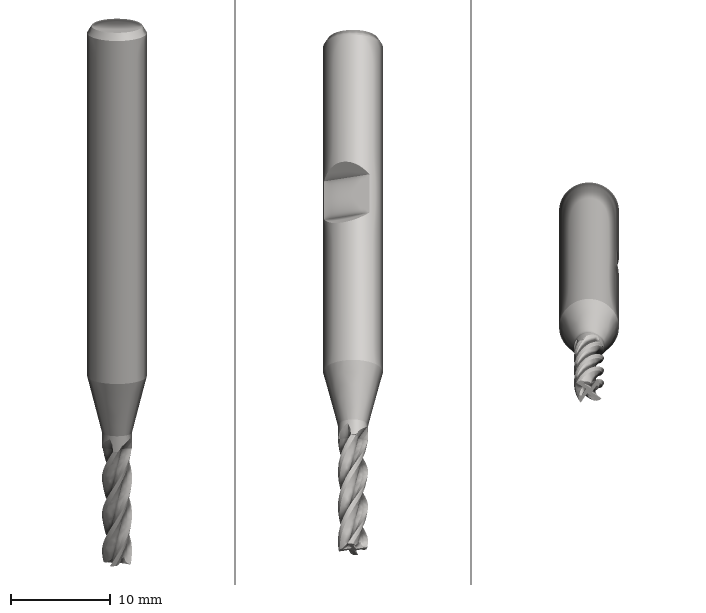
import cadquery as cq
import math

TOTAL_LENGTH = 56.0
SHANK_DIAMETER = 6.0
CUTTER_DIAMETER = 3.0

CUTTING_LENGTH = 12.0
NECK_TOP = 13.6
CONE_TOP = 19.5

CHAMFER_WIDTH = 0.45
CHAMFER_HEIGHT = 0.7

FLAT_DEPTH = 1.25
FLAT_LENGTH = 4.2
FLAT_CENTRE_TO_REAR = 18.0

TOOTH_COUNT = 4
HELIX_LEAD = 15.25
LAND_ANGLE = 8.0
LAND_END_RADIUS = 1.45
HEEL_ANGLE = 20.0
HEEL_RADIUS = 1.35
BACK_ANGLE = 36.0
BACK_RADIUS = 1.0
CORE_RADIUS = 0.7
CORE_ANGLE = 60.0
RAKE_RADIUS = 1.0
RAKE_ANGLE = 85.0

RUNOUT_HEIGHT = 1.35
RUNOUT_SHIFT = 0.95

GASH_DEPTH = 0.7
GASH_WIDTH = 0.9
GASH_START_RADIUS = 0.35

CLEARANCE = 0.55

SHANK_RADIUS = SHANK_DIAMETER / 2
CUTTER_RADIUS = CUTTER_DIAMETER / 2
TOOTH_PITCH = 360.0 / TOOTH_COUNT
TOOTH_ANGLES = [tooth * TOOTH_PITCH for tooth in range(TOOTH_COUNT)]
CUTTER_TWIST = 360.0 * CUTTING_LENGTH / HELIX_LEAD


def polar(radius, degrees):
    """Point in the XY plane at a radius and an angle from +X."""
    angle = math.radians(degrees)
    return (radius * math.cos(angle), radius * math.sin(angle))


def add_flute(outline, start):
    """Rounded back of the tooth at angle start, then the two-part rake face of the next tooth."""
    outline = outline.threePointArc(
        polar(BACK_RADIUS, start + BACK_ANGLE),
        polar(CORE_RADIUS, start + CORE_ANGLE),
    )
    outline = outline.lineTo(*polar(RAKE_RADIUS, start + RAKE_ANGLE))
    return outline.lineTo(*polar(CUTTER_RADIUS, start + TOOTH_PITCH))



def shank_blank():
    """Turned shape: neck, cone, cylindrical shank and rear chamfer."""
    profile = [
        (0, CUTTING_LENGTH),
        (-CUTTER_RADIUS, CUTTING_LENGTH),
        (-CUTTER_RADIUS, NECK_TOP),
        (-SHANK_RADIUS, CONE_TOP),
        (-SHANK_RADIUS, TOTAL_LENGTH - CHAMFER_HEIGHT),
        (CHAMFER_WIDTH - SHANK_RADIUS, TOTAL_LENGTH),
        (0, TOTAL_LENGTH),
    ]
    return cq.Workplane("YZ").polyline(profile).close().revolve(360, (0, 0), (0, 1))


def clamping_flat():
    """Trapezoidal cutout across the +Y side of the shank."""
    centre = TOTAL_LENGTH - FLAT_CENTRE_TO_REAR
    floor_y = SHANK_RADIUS - FLAT_DEPTH
    outer_y = SHANK_RADIUS + CLEARANCE
    half_floor = FLAT_LENGTH / 2
    half_mouth = half_floor + FLAT_DEPTH + CLEARANCE
    profile = [
        (floor_y, centre - half_floor),
        (floor_y, centre + half_floor),
        (outer_y, centre + half_mouth),
        (outer_y, centre - half_mouth),
    ]
    return cq.Workplane("YZ").polyline(profile).close().extrude(SHANK_RADIUS, both=True)


def flute_runout(tooth_angle):
    """Flute section continued above the cutter, moving outward along the next rake face."""
    start = tooth_angle + CUTTER_TWIST
    rake_angle = start + TOOTH_PITCH
    outer_radius = 2 * CUTTER_RADIUS
    outline = cq.Workplane("XY", origin=(0, 0, CUTTING_LENGTH))
    outline = outline.moveTo(*polar(HEEL_RADIUS, start + HEEL_ANGLE))
    outline = add_flute(outline, start)
    outline = outline.lineTo(*polar(outer_radius, rake_angle))
    outline = outline.lineTo(*polar(outer_radius, start + HEEL_ANGLE)).close()
    rise = cq.Vector(*polar(RUNOUT_SHIFT, rake_angle), RUNOUT_HEIGHT)
    return cq.Solid.extrudeLinear(outline.val(), [], rise)


def make_shank():
    shank = shank_blank().cut(clamping_flat())
    for tooth_angle in TOOTH_ANGLES:
        shank = shank.cut(cq.Workplane(flute_runout(tooth_angle)))
    return shank



def fluted_bar():
    """Toothed section twisted along the helix; each tooth has a land, a back and a flute."""
    outline = cq.Workplane("XY").moveTo(CUTTER_RADIUS, 0)
    for start in TOOTH_ANGLES:
        outline = outline.lineTo(*polar(LAND_END_RADIUS, start + LAND_ANGLE))
        outline = outline.lineTo(*polar(HEEL_RADIUS, start + HEEL_ANGLE))
        outline = add_flute(outline, start)
    return outline.close().twistExtrude(CUTTING_LENGTH, CUTTER_TWIST)


def end_gash(tooth_angle):
    """Wedge in front of one cutting edge, with its steep wall along the rake face."""
    profile = [(0, 0), (0, GASH_DEPTH), (-GASH_WIDTH, 0)]
    wedge = cq.Workplane("YZ", origin=(GASH_START_RADIUS, 0, 0)).polyline(profile).close()
    return wedge.extrude(CUTTER_RADIUS).rotate((0, 0, 0), (0, 0, 1), tooth_angle)


def make_cutter():
    cutter = fluted_bar()
    for tooth_angle in TOOTH_ANGLES:
        cutter = cutter.cut(end_gash(tooth_angle))
    return cutter


shank = make_shank()
cutter = make_cutter()
result = cq.Compound.makeCompound([shank.val(), cutter.val()])